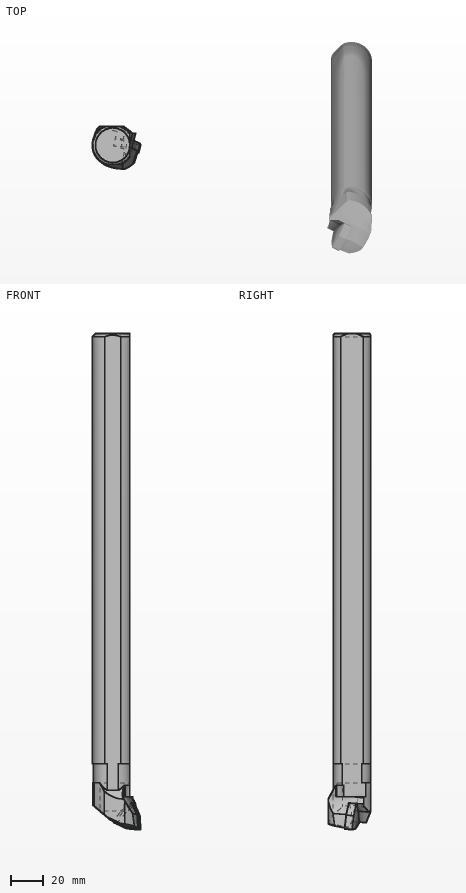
import cadquery as cq
import math

overall_length = 301.5
shank_radius = 12.5
flat_distance = 11.5
side_flat_distance = 10.4
shank_end_chamfer = 2.0

neck_radius = 12.0
neck_top = 40.2
head_top = 28.6
neck_root = 20.0

inscribed_radius = 12.7 / 2
insert_thickness = 4.76
nose_radius = 0.8
tip_angle = 80.0
radial_rake = 14.0
axial_rake = 6.0
tip_x = 17.05
tip_z = -0.08
edge_clearance = 5.0

head_left = -12.0
head_left_y = 1.5
belly_y = -14.47
back_corner_left = (-8.0, flat_distance)
back_bevel_end = (-9.6, 9.7)
bevel_start = (-11.2, -5.75)
bevel_end = (-5.25, -11.8)
belly_middle = (2.0, -14.1)
belly_end = (7.2, belly_y)
flank_middle = (12.8, -10.8)
flank_end = (17.5, -1.0)
flank_top = (17.5, 7.2)
back_corner_right = (12.0, 7.2)
back_corner = (6.6, flat_distance)

heel_x = -14.0
heel_slope = 40.0
ridge_x = -1.5
ridge_z = 6.1
edge_inset = 0.4
flank_relief = 4.0
upper_flank_z = 20.0

notch_left = 7.5
notch_back_y = -5.0
notch_top = 27.0

shoulder_z = 24.1
shoulder_slope = 1.8
chip_relief_top = 11.5
chip_relief_slope = 0.4
chip_space_depth = 20.0
reach = 40.0


def bar_section(radius, bottom, length):
    """Round bar with flats on both Y sides and on the +X side."""
    bar = cq.Workplane("XY").workplane(offset=bottom).circle(radius).extrude(length)
    width = radius + side_flat_distance
    flats = (
        cq.Workplane("XY")
        .workplane(offset=bottom)
        .center(side_flat_distance - width / 2, 0)
        .rect(width, 2 * flat_distance)
        .extrude(length)
    )
    return bar, flats


def make_shank():
    bar, flats = bar_section(shank_radius, neck_top, overall_length - neck_top)
    return bar.faces(">Z").chamfer(shank_end_chamfer).intersect(flats)


def make_neck():
    bar, flats = bar_section(neck_radius, neck_root, neck_top - neck_root)
    return bar.intersect(flats)


rake_normal = cq.Vector(math.tan(math.radians(radial_rake)), 1, -math.tan(math.radians(axial_rake)))
rake_plane = cq.Plane(
    origin=(tip_x, 0, tip_z),
    xDir=(-1, math.tan(math.radians(radial_rake)), 0),
    normal=rake_normal.toTuple(),
)


def trigon_points():
    """Corners of the trigon, sharp 80 degree corners at even places."""
    tip_distance = inscribed_radius / math.sin(math.radians(tip_angle / 2))
    side_distance = inscribed_radius / math.sin(math.radians(tip_angle))
    bisector = edge_clearance + tip_angle / 2
    center_x = tip_distance * math.cos(math.radians(bisector))
    center_y = tip_distance * math.sin(math.radians(bisector))
    corner_count = 6
    step = 360 / corner_count
    points = []
    for corner in range(corner_count):
        distance = tip_distance if corner % 2 == 0 else side_distance
        angle = math.radians(180 + bisector + step * corner)
        points.append((center_x + distance * math.cos(angle), center_y + distance * math.sin(angle)))
    return points


def trigon_prism(depth):
    return cq.Workplane(rake_plane).polyline(trigon_points()).close().extrude(depth)


def make_insert():
    """Trigon plate with its three 80 degree corners rounded."""
    prism = trigon_prism(-insert_thickness)
    sharp = [p for place, p in enumerate(trigon_points()) if place % 2 == 0]
    for x, y in sharp:
        middle = rake_plane.toWorldCoords((x, y, -insert_thickness / 2))
        prism = prism.edges(cq.selectors.NearestToPointSelector(middle.toTuple())).fillet(nose_radius)
    return prism


def head_plan():
    """Outline across the axis, extruded over the head height."""
    return (
        cq.Workplane("XY")
        .moveTo(*back_corner_left)
        .lineTo(*back_bevel_end)
        .threePointArc((head_left, head_left_y), bevel_start)
        .lineTo(*bevel_end)
        .threePointArc(belly_middle, belly_end)
        .threePointArc(flank_middle, flank_end)
        .lineTo(*flank_top)
        .lineTo(*back_corner_right)
        .lineTo(*back_corner)
        .close()
        .extrude(head_top)
    )


def head_side_profile():
    """Heel, sloping underside and step back to the side flat, straight through along Y."""
    heel_z = ridge_z + (ridge_x - heel_x) * math.tan(math.radians(heel_slope))
    front_slope = math.tan(math.radians(180 - 2 * tip_angle + edge_clearance))
    return (
        cq.Workplane("XZ")
        .moveTo(heel_x, head_top)
        .lineTo(heel_x, heel_z)
        .lineTo(ridge_x, ridge_z)
        .lineTo(ridge_x + ridge_z / front_slope, 0)
        .lineTo(reach, 0)
        .lineTo(reach, upper_flank_z)
        .lineTo(side_flat_distance, upper_flank_z)
        .lineTo(side_flat_distance, head_top)
        .close()
        .extrude(reach, both=True)
    )


def head_flank_prism():
    """Free flanks that follow the insert, square to its rake face and relieved below it."""
    corners = trigon_points()
    tip, end_corner, far_corner, side_corner = [
        (corners[place][0] + edge_inset, corners[place][1] + edge_inset) for place in (0, 1, 2, 5)
    ]
    run = (reach - end_corner[0]) / (far_corner[0] - end_corner[0])
    underside_end = (reach, end_corner[1] + run * (far_corner[1] - end_corner[1]))
    upper_flank_run = tip_x - side_flat_distance
    outline = [
        tip,
        end_corner,
        underside_end,
        (reach, reach),
        (upper_flank_run, reach),
        (upper_flank_run, upper_flank_z),
        side_corner,
    ]
    above = cq.Workplane(rake_plane).polyline(outline).close().extrude(reach / 2)
    below = cq.Workplane(rake_plane).polyline(outline).close().extrude(-reach / 2, taper=flank_relief)
    return above.union(below)


def shoulder_cutter():
    """Everything above the slope that falls from the neck to the -Y face of the head."""
    inner_y = -flat_distance + (head_top - shoulder_z) / shoulder_slope
    outer_y = -reach / 2
    outer_z = shoulder_z + (outer_y + flat_distance) * shoulder_slope
    return (
        cq.Workplane("YZ")
        .polyline([(inner_y, head_top), (outer_y, outer_z), (outer_y, head_top)])
        .close()
        .extrude(reach, both=True)
    )


def chip_relief_cutter():
    """Wedge that slopes the +Y side inward toward the bottom."""
    bottom_y = flat_distance - chip_relief_slope * chip_relief_top
    return (
        cq.Workplane("YZ")
        .polyline([(flat_distance, chip_relief_top), (bottom_y, 0), (flat_distance, 0)])
        .close()
        .extrude(reach, both=True)
    )


def notch_cutter():
    """Block with a flat ceiling, flat back and flat left side."""
    height = notch_top - upper_flank_z
    corner = (notch_left, notch_back_y - reach, upper_flank_z)
    return cq.Workplane("XY").box(reach, reach, height, centered=False).translate(corner)


def make_head():
    head = head_plan().intersect(head_side_profile()).intersect(head_flank_prism())
    head = head.cut(shoulder_cutter()).cut(chip_relief_cutter())
    return head.cut(trigon_prism(-insert_thickness)).cut(trigon_prism(chip_space_depth))


holder = make_shank().union(make_neck()).union(make_head()).cut(notch_cutter())
insert = make_insert()

result = cq.Compound.makeCompound([holder.val(), insert.val()])